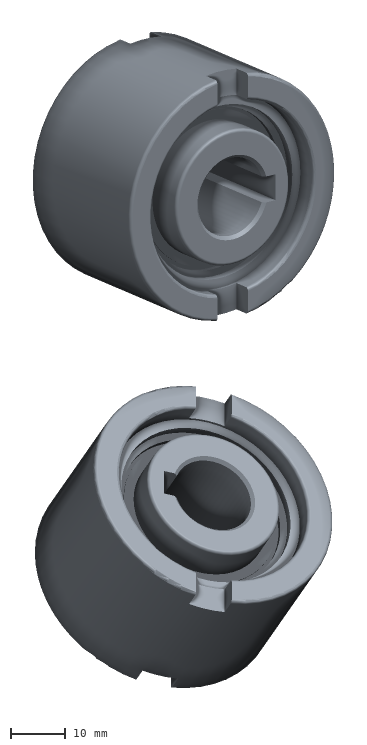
import cadquery as cq

length = 30.0
outer_radius = 23.5
edge_round = 0.6

ring_inner_radius = 18.5
hub_radius = 13.0
bore_radius = 7.5
bore_chamfer = 0.6

lip_radius = 16.65
lip_depth = 4.0
undercut_radius = 17.5
undercut_start_depth = 5.6
undercut_floor_depth = 6.35
groove_radius = 15.6
groove_depth = 7.3
land_radius = 14.9
land_depth = 7.1

slot_width = 7.0
slot_depth = 3.5

key_width = 5.0
key_depth = 2.3

half_length = length / 2


def cylinder_x(radius, start_x, size_x):
    """Solid cylinder along X, starting at start_x."""
    return cq.Workplane("YZ", origin=(start_x, 0, 0)).circle(radius).extrude(size_x)


def annulus(large_radius, small_radius, near_depth, far_depth):
    """Ring between two depths measured from the -X end face."""
    start_x = near_depth - half_length
    thickness = far_depth - near_depth
    ring = cylinder_x(large_radius, start_x, thickness)
    return ring.cut(cylinder_x(small_radius, start_x, thickness))


def make_ring():
    """Outer sleeve with all four circular rims rounded."""
    ring = annulus(outer_radius, ring_inner_radius, 0, length)
    return ring.faces("<X or >X").edges().fillet(edge_round)


def make_hub():
    """Inner sleeve with rounded outer rims and a chamfered bore."""
    hub = cylinder_x(hub_radius, -half_length, length)
    hub = hub.faces("<X or >X").edges().fillet(edge_round)
    hub = hub.cut(cylinder_x(bore_radius, -half_length, length))
    bore_rims = hub.faces("<X or >X").edges(cq.selectors.RadiusNthSelector(0))
    return bore_rims.chamfer(bore_chamfer)


def make_web():
    """Web that joins ring and hub, with the same stepped recess at both ends."""
    web = annulus(ring_inner_radius, hub_radius, lip_depth, length - lip_depth)
    recess_cuts = [
        annulus(lip_radius, hub_radius, lip_depth, undercut_floor_depth),
        annulus(undercut_radius, hub_radius, undercut_start_depth, undercut_floor_depth),
        annulus(groove_radius, land_radius, undercut_floor_depth, groove_depth),
        annulus(land_radius, hub_radius, undercut_floor_depth, land_depth),
    ]
    for recess_cut in recess_cuts:
        web = web.cut(recess_cut)
        web = web.cut(recess_cut.mirror("YZ"))
    return web


def cut_slots(body):
    """Slots across the ring at the top and bottom of each end face."""
    slot_height = outer_radius - hub_radius
    slot_centre_z = (outer_radius + hub_radius) / 2
    slot_centre_x = half_length - slot_depth / 2
    slot = cq.Workplane("XY").box(slot_depth, slot_width, slot_height)
    for x_side in (-1, 1):
        for z_side in (-1, 1):
            place = (x_side * slot_centre_x, 0, z_side * slot_centre_z)
            body = body.cut(slot.translate(place))
    return body


def cut_keyway(body):
    """Keyway through the full length of the bore."""
    key_top_y = bore_radius + key_depth
    keyway = cq.Workplane("XY").box(length, key_top_y, key_width)
    return body.cut(keyway.translate((0, key_top_y / 2, 0)))


slotted_ring = cut_slots(make_ring())
keyed_hub = cut_keyway(make_hub())
result = slotted_ring.union(make_web()).union(keyed_hub)